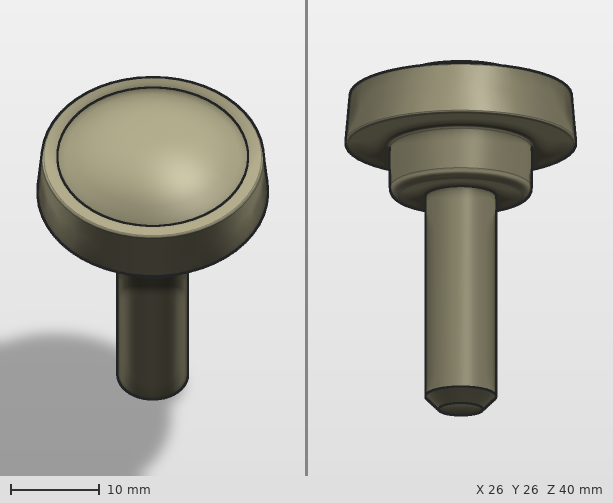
import cadquery as cq
import math

SHAFT_DIAMETER = 8.0
SHAFT_LENGTH = 25.0
TIP_CHAMFER = 1.5
COLLAR_DIAMETER = 16.0
COLLAR_HEIGHT = 6.0
COLLAR_EDGE_RADIUS = 1.0
COLLAR_ROOT_RADIUS = 0.4
HEAD_DIAMETER = 26.0
HEAD_TAPER = 5.0
HEAD_HEIGHT = 6.0
HEAD_EDGE_RADIUS = 0.25
DOME_DIAMETER = 21.5
DOME_HEIGHT = 3.0

HEAD_BOTTOM_Z = COLLAR_HEIGHT
HEAD_TOP_Z = HEAD_BOTTOM_Z + HEAD_HEIGHT


def make_shaft():
    """Plain round shaft below the collar, chamfered at its tip."""
    shaft = cq.Workplane("XY").circle(SHAFT_DIAMETER / 2).extrude(-SHAFT_LENGTH)
    return shaft.faces("<Z").chamfer(TIP_CHAMFER)


def make_collar():
    """Round collar with a rounded lower edge."""
    collar = cq.Workplane("XY").circle(COLLAR_DIAMETER / 2).extrude(COLLAR_HEIGHT)
    return collar.faces("<Z").edges().fillet(COLLAR_EDGE_RADIUS)


def make_head():
    """Grip disc that narrows upwards, with both rims rounded."""
    taper = math.radians(HEAD_TAPER)
    rim_overhang = HEAD_EDGE_RADIUS * (math.tan(taper) + 1 / math.cos(taper) - 1)
    head = (
        cq.Workplane("XY")
        .workplane(offset=HEAD_BOTTOM_Z)
        .circle(HEAD_DIAMETER / 2 + rim_overhang)
        .extrude(HEAD_HEIGHT, taper=HEAD_TAPER)
    )
    return head.faces("<Z or >Z").edges().fillet(HEAD_EDGE_RADIUS)


def make_dome():
    """Shallow spherical cap on the flat top of the head."""
    radius = DOME_DIAMETER / 2
    sphere_radius = (radius**2 + DOME_HEIGHT**2) / (2 * DOME_HEIGHT)
    half_angle = math.asin(radius / sphere_radius) / 2
    centre_z = HEAD_TOP_Z + DOME_HEIGHT - sphere_radius
    arc_middle = (
        sphere_radius * math.sin(half_angle),
        centre_z + sphere_radius * math.cos(half_angle),
    )
    return (
        cq.Workplane("XZ")
        .moveTo(0, HEAD_TOP_Z)
        .lineTo(radius, HEAD_TOP_Z)
        .threePointArc(arc_middle, (0, HEAD_TOP_Z + DOME_HEIGHT))
        .close()
        .revolve(360, (0, 0, 0), (0, 1, 0))
    )


def round_collar_root(body):
    """Fillet the inside corner where the collar meets the head."""
    root_size = COLLAR_DIAMETER / 2 + COLLAR_ROOT_RADIUS
    root_edge = cq.selectors.BoxSelector(
        (-root_size, -root_size, HEAD_BOTTOM_Z - COLLAR_ROOT_RADIUS),
        (root_size, root_size, HEAD_BOTTOM_Z + COLLAR_ROOT_RADIUS),
        boundingbox=True,
    )
    return body.edges(root_edge).edges("%CIRCLE").fillet(COLLAR_ROOT_RADIUS)


body = make_collar().union(make_head())
result = round_collar_root(body).union(make_shaft()).union(make_dome())